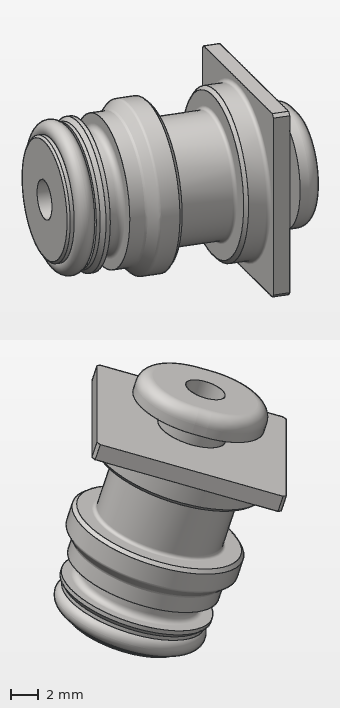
import cadquery as cq
import math

bore_radius = 1.5

ring_section_radius = 0.75
ring_outer_radius = 5.75
ring_center_radius = ring_outer_radius - ring_section_radius
ring_y = 1.18
ring_inner_radius = ring_outer_radius - 2 * ring_section_radius
ring_groove_back = ring_y + ring_section_radius

end_lip_radius = 4.73
end_lip_chamfer = 0.18
end_lip_back = ring_y - math.sqrt(ring_section_radius**2 - (ring_center_radius - end_lip_radius) ** 2)
shoulder_radius = 5.45
shoulder_back = 2.23
land_radius = 5.77
rib_front = 2.56
rib_back = 2.9
round_groove_back = 4.41
round_groove_radius = 4.5
round_groove_fillet = 0.5

collar_radius = 6.55
cone_front = 5.71
cone_back = cone_front + collar_radius - land_radius
cone_blend = 0.25
collar_back = 8.3
barrel_radius = 4.8
rear_collar_front = 13.08
collar_chamfer = 0.28
plate_chamfer = 0.25
barrel_fillet = 0.28
plate_fillet = 0.3
plate_front = 15.05
plate_back = 16.31
plate_side = 14.4

neck_radius = 2.58
head_front = 17.97
head_back = 19.7
head_width = 9.99
head_height = 9.0
head_round = 0.98


def cylinder(radius, y_start, y_end):
    """Cylinder along Y between two stations."""
    return cq.Workplane("XZ", origin=(0, y_start, 0)).circle(radius).extrude(y_start - y_end)


def drill_bore(body):
    """Cut the central bore through the full length of a body."""
    return body.cut(cylinder(bore_radius, 0, head_back))


def revolve_about_y(profile):
    return profile.revolve(360, (0, 0, 0), (0, 1, 0), clean=False)


def edges_at(radius, y):
    """Selector for the circular edge of a given radius at one station."""
    tolerance = 0.01
    return cq.selectors.BoxSelector(
        (-radius - tolerance, y - tolerance, -radius - tolerance),
        (radius + tolerance, y + tolerance, radius + tolerance),
        boundingbox=True,
    ) - cq.selectors.BoxSelector(
        (-radius + tolerance, y - tolerance, -radius + tolerance),
        (radius - tolerance, y + tolerance, radius - tolerance),
        boundingbox=True,
    )


def make_turned_housing():
    """Revolve the stepped outline, then dress its edges."""
    outline = (
        cq.Workplane("XY")
        .lineTo(end_lip_radius, 0)
        .lineTo(end_lip_radius, end_lip_back)
        .threePointArc((ring_inner_radius, ring_y), (ring_center_radius, ring_groove_back))
        .lineTo(shoulder_radius, ring_groove_back)
        .lineTo(shoulder_radius, shoulder_back)
        .lineTo(land_radius, rib_front)
        .lineTo(land_radius, rib_back)
        .lineTo(round_groove_radius, rib_back)
        .lineTo(round_groove_radius, round_groove_back)
        .lineTo(land_radius, round_groove_back)
        .lineTo(land_radius, cone_front)
        .lineTo(collar_radius, cone_back)
        .lineTo(collar_radius, collar_back)
        .lineTo(barrel_radius, collar_back)
        .lineTo(barrel_radius, rear_collar_front)
        .lineTo(collar_radius, rear_collar_front)
        .lineTo(collar_radius, plate_front)
        .lineTo(0, plate_front)
        .close()
    )
    turned = revolve_about_y(outline)
    turned = turned.edges(edges_at(end_lip_radius, 0)).chamfer(end_lip_chamfer)
    for y in (collar_back, rear_collar_front):
        turned = turned.edges(edges_at(collar_radius, y)).chamfer(collar_chamfer)
        turned = turned.edges(edges_at(barrel_radius, y)).fillet(barrel_fillet)
    for y in (rib_back, round_groove_back):
        turned = turned.edges(edges_at(round_groove_radius, y)).fillet(round_groove_fillet)
    turned = turned.edges(edges_at(land_radius, cone_front)).fillet(cone_blend)
    return turned.edges(edges_at(collar_radius, cone_back)).fillet(cone_blend)


def make_plate():
    """Square plate with its four corners chamfered."""
    return (
        cq.Workplane("XZ", origin=(0, plate_front, 0))
        .rect(plate_side, plate_side)
        .extrude(plate_front - plate_back)
        .edges("|Y")
        .chamfer(plate_chamfer)
    )


def make_housing():
    housing = make_turned_housing().union(make_plate())
    housing = housing.edges(edges_at(collar_radius, plate_front)).fillet(plate_fillet)
    return drill_bore(housing)


def make_sealing_ring():
    """Torus whose section is two half circles meeting at the outer and inner equators."""
    section = (
        cq.Workplane("XY")
        .moveTo(ring_outer_radius, ring_y)
        .threePointArc((ring_center_radius, ring_groove_back), (ring_inner_radius, ring_y))
        .threePointArc((ring_center_radius, ring_y - ring_section_radius), (ring_outer_radius, ring_y))
        .close()
    )
    return revolve_about_y(section)


def make_button():
    """Round neck standing on the plate, with a slightly oblong, rounded head."""
    head = (
        cq.Workplane("XZ", origin=(0, head_front, 0))
        .slot2D(head_width, head_height)
        .extrude(head_front - head_back)
        .faces(">Y")
        .edges()
        .fillet(head_round)
    )
    return drill_bore(cylinder(neck_radius, plate_back, head_front).union(head))


housing = make_housing()
sealing_ring = make_sealing_ring()
button = make_button()

result = cq.Compound.makeCompound([housing.val(), sealing_ring.val(), button.val()])